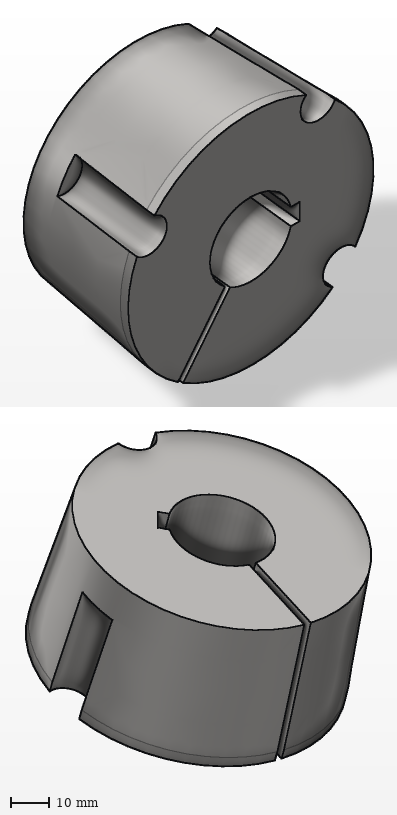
import cadquery as cq

length = 44.45
large_radius = 42.8
small_radius = 39.9
rim_length = 3.2

bore_radius = 14.3
keyway_width = 6.5
keyway_reach = 17.0

groove_radius = 6.25
groove_center_radius = 41.0
blind_groove_start = 11.1

through_groove_angle = 55.0
blind_groove_angles = (150.0, -40.0)
slit_angle = through_groove_angle + 180.0
slit_width = 2.1

slit_reach = 1.2 * large_radius


def make_body():
    profile = [
        (0, 0),
        (0, small_radius),
        (length - rim_length, large_radius),
        (length, large_radius),
        (length, 0),
    ]
    return cq.Workplane("XY").polyline(profile).close().revolve(360, (0, 0, 0), (1, 0, 0))


def radial_block(reach, width, angle):
    """Full-length block reaching from the axis out to the given radius."""
    block = cq.Workplane("YZ").center(reach / 2, 0).rect(reach, width).extrude(length)
    return block.rotate((0, 0, 0), (1, 0, 0), angle)


def groove_cutter(angle, start=0.0):
    """Round cutter parallel to the axis, running from X = start to the large face."""
    return (
        cq.Workplane("YZ", origin=(start, 0, 0))
        .center(groove_center_radius, 0)
        .circle(groove_radius)
        .extrude(length - start)
        .rotate((0, 0, 0), (1, 0, 0), angle)
    )


bore = cq.Workplane("YZ").circle(bore_radius).extrude(length)
keyway = radial_block(keyway_reach, keyway_width, 0)
slit = radial_block(slit_reach, slit_width, slit_angle)

result = make_body().cut(bore).cut(keyway).cut(slit)
result = result.cut(groove_cutter(through_groove_angle))
for groove_angle in blind_groove_angles:
    result = result.cut(groove_cutter(groove_angle, blind_groove_start))